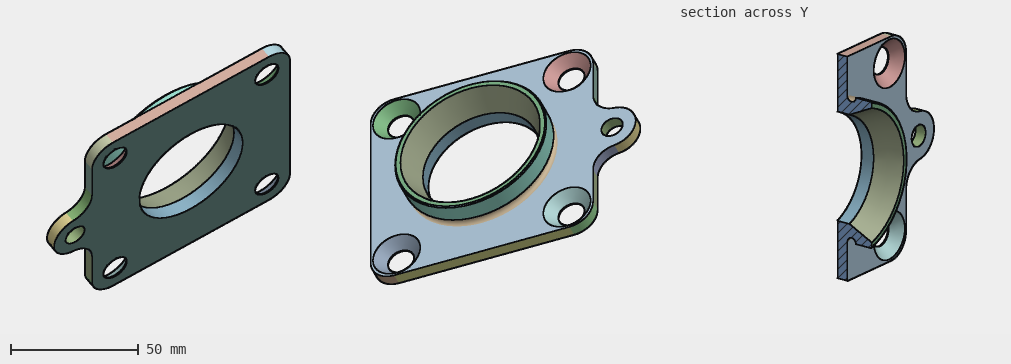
import cadquery as cq
import math

plate_thickness = 5.0
plate_side = 94.0
plate_corner_radius = 10.0

tab_radius = 10.0
tab_center_y = -55.0
tab_hole_diameter = 9.0
tab_blend_radius = 10.0

collar_diameter = 64.0
collar_height = 12.0
collar_chamfer = 0.5
groove_radius = 2.0

bore_diameter = 49.0
mouth_diameter = 59.0
mouth_depth = 11.0

screw_hole_offset = 36.0
screw_hole_diameter = 11.0
countersink_diameter = 20.0
countersink_angle = 90.0

plate_half = plate_side / 2
plate_back_x = plate_thickness
collar_front_x = -collar_height


def make_plate():
    """Rounded square plate."""
    plate = cq.Workplane("YZ").rect(plate_side, plate_side).extrude(plate_thickness)
    return plate.edges("|X").fillet(plate_corner_radius)


def make_tab():
    """Round eyelet blended into the plate edge by two concave arcs."""
    edge_y = -plate_half
    blend_center_y = edge_y - tab_blend_radius
    center_distance = tab_radius + tab_blend_radius
    center_offset_y = blend_center_y - tab_center_y
    blend_center_z = math.sqrt(center_distance**2 - center_offset_y**2)

    touch_ratio = tab_radius / center_distance
    touch_y = tab_center_y + touch_ratio * center_offset_y
    touch_z = touch_ratio * blend_center_z

    tip_y = tab_center_y - tab_radius
    return (
        cq.Workplane("YZ")
        .moveTo(edge_y, -blend_center_z)
        .radiusArc((touch_y, -touch_z), -tab_blend_radius)
        .threePointArc((tip_y, 0), (touch_y, touch_z))
        .radiusArc((edge_y, blend_center_z), -tab_blend_radius)
        .lineTo(edge_y + tab_radius, blend_center_z)
        .lineTo(edge_y + tab_radius, -blend_center_z)
        .close()
        .extrude(plate_thickness)
    )


def revolve_about_x(profile):
    """Revolve a closed X-radius profile about the X axis."""
    return profile.close().revolve(360, (0, 0, 0), (1, 0, 0))


def make_collar():
    """Chamfered collar with a half-round groove next to the plate."""
    radius = collar_diameter / 2
    return revolve_about_x(
        cq.Workplane("XY")
        .moveTo(collar_front_x, 0)
        .lineTo(collar_front_x, radius - collar_chamfer)
        .lineTo(collar_front_x + collar_chamfer, radius)
        .lineTo(-2 * groove_radius, radius)
        .threePointArc((-groove_radius, radius - groove_radius), (0, radius))
        .lineTo(plate_back_x, radius)
        .lineTo(plate_back_x, 0)
    )


def make_opening():
    """Conical mouth narrowing to the straight bore."""
    mouth_end_x = collar_front_x + mouth_depth
    return revolve_about_x(
        cq.Workplane("XY")
        .moveTo(collar_front_x, 0)
        .lineTo(collar_front_x, mouth_diameter / 2)
        .lineTo(mouth_end_x, bore_diameter / 2)
        .lineTo(plate_back_x, bore_diameter / 2)
        .lineTo(plate_back_x, 0)
    )


def make_screw_hole(y, z):
    """Through hole with its countersink opening on the collar side."""
    hole_radius = screw_hole_diameter / 2
    sink_radius = countersink_diameter / 2
    sink_depth = (sink_radius - hole_radius) / math.tan(math.radians(countersink_angle / 2))
    cutter = revolve_about_x(
        cq.Workplane("XY")
        .lineTo(0, sink_radius)
        .lineTo(sink_depth, hole_radius)
        .lineTo(plate_back_x, hole_radius)
        .lineTo(plate_back_x, 0)
    )
    return cutter.translate((0, y, z))


def make_tab_hole():
    """Through hole in the eyelet."""
    return (
        cq.Workplane("YZ")
        .center(tab_center_y, 0)
        .circle(tab_hole_diameter / 2)
        .extrude(plate_thickness)
    )


result = make_plate().union(make_tab()).union(make_collar())
result = result.cut(make_opening()).cut(make_tab_hole())
for y in (-screw_hole_offset, screw_hole_offset):
    for z in (-screw_hole_offset, screw_hole_offset):
        result = result.cut(make_screw_hole(y, z))